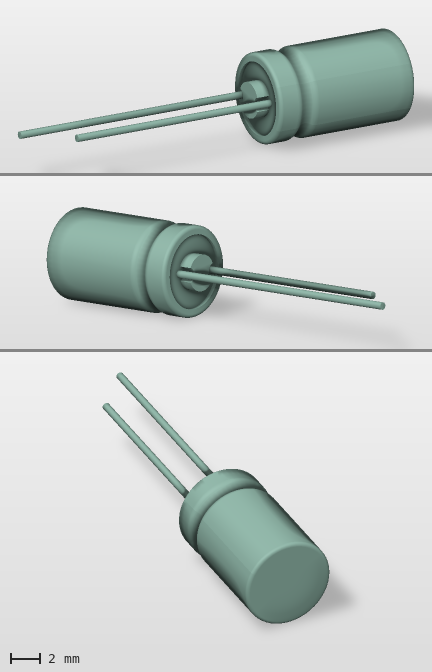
import cadquery as cq
import math

can_diameter = 6.3
can_length = 10.5
total_length = 28.2
rim_fillet = 0.25
can_wall = 0.6
bung_recess = 0.28
bung_depth = 1.4

groove_center = 2.23
groove_half_width = 0.8
groove_depth = 0.35
groove_crest_width = 0.37

stripe_angle = 60.0

lead_pitch = 2.5
lead_radius = 0.25
lead_length_difference = 3.0
boss_protrusion = 0.65
boss_radius = lead_pitch / 2
lead_clearance_radius = 0.5

can_radius = can_diameter / 2
closed_end = total_length / 2
open_end = closed_end - can_length
inner_radius = can_radius - can_wall
bung_face = open_end + bung_recess
bung_back = bung_face + bung_depth
groove_y = open_end + groove_center
groove_start = groove_y - groove_half_width
groove_end = groove_y + groove_half_width
waist_radius = can_radius - groove_depth
crest_radius = can_radius - groove_depth * groove_crest_width / groove_half_width
rim_radius = can_radius - rim_fillet
fillet_middle = rim_fillet * (1 - math.sqrt(0.5))


def cylinder(radius, start_y, end_y, x=0.0):
    """Cylinder parallel to Y between two Y positions."""
    return cq.Workplane("XZ", origin=(x, end_y, 0)).circle(radius).extrude(end_y - start_y)


def can_shell():
    """Closed can with rounded rims, a rolled groove and a bore for the bung."""
    envelope = (
        cq.Workplane("XY")
        .moveTo(0, open_end)
        .lineTo(rim_radius, open_end)
        .threePointArc(
            (can_radius - fillet_middle, open_end + fillet_middle),
            (can_radius, open_end + rim_fillet),
        )
        .lineTo(can_radius, groove_start)
        .tangentArcPoint((crest_radius, groove_start + groove_crest_width), relative=False)
        .tangentArcPoint((waist_radius, groove_y), relative=False)
        .tangentArcPoint((crest_radius, groove_end - groove_crest_width), relative=False)
        .tangentArcPoint((can_radius, groove_end), relative=False)
        .lineTo(can_radius, closed_end - rim_fillet)
        .threePointArc(
            (can_radius - fillet_middle, closed_end - fillet_middle),
            (rim_radius, closed_end),
        )
        .lineTo(0, closed_end)
        .close()
        .revolve(360, (0, 0, 0), (0, 1, 0))
    )
    return envelope.cut(cylinder(inner_radius, open_end, bung_back))


def stripe_sector():
    """Wedge-shaped sector of the can wall that is taken up by the stripe."""
    reach = 2 * can_radius
    half_height = reach * math.tan(math.radians(stripe_angle / 2))
    wedge = (
        cq.Workplane("XZ", origin=(0, closed_end, 0))
        .polyline([(0, 0), (reach, -half_height), (reach, half_height)])
        .close()
        .extrude(can_length)
    )
    return wedge.cut(cylinder(inner_radius, open_end, closed_end))


def make_bung():
    """Recessed bung with a notched central boss and lead holes."""
    bung = cylinder(inner_radius, bung_face, bung_back)
    boss_end = open_end - boss_protrusion
    boss = cylinder(boss_radius, boss_end, bung_face)
    for side in (-1, 1):
        x = side * lead_pitch / 2
        boss = boss.cut(cylinder(lead_clearance_radius, boss_end, bung_face, x))
    bung = bung.union(boss)
    for side in (-1, 1):
        bung = bung.cut(cylinder(lead_radius, bung_face, bung_back, side * lead_pitch / 2))
    return bung


def make_lead(side, tip_y):
    """Straight round lead running from the back of the bung to its tip."""
    return cylinder(lead_radius, tip_y, bung_back, side * lead_pitch / 2)


shell = can_shell()
sector = stripe_sector()
can = shell.cut(sector)
stripe = shell.intersect(sector)
bung = make_bung()

long_tip = -total_length / 2
short_tip = long_tip + lead_length_difference
leads = [make_lead(side, tip_y) for side, tip_y in ((-1, long_tip), (1, short_tip))]

result = cq.Compound.makeCompound(
    [can.val(), stripe.val(), bung.val(), *[lead.val() for lead in leads]]
)